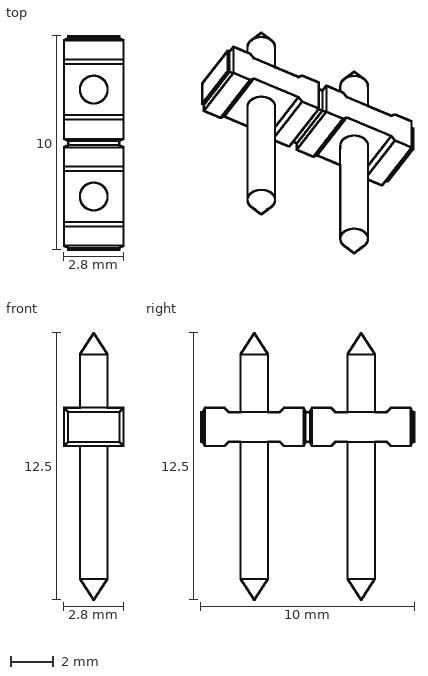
import cadquery as cq

pin_count = 2
pitch = 5.0

body_width = 2.8
body_height = 1.8
end_length = 0.2
taper_length = 0.1
neck_inset = 0.2
land_length = 0.9
recess_depth = neck_inset
recess_slope_run = 0.2

pin_diameter = 1.3
pin_length = 12.5
point_length = 1.0
pin_below_body = 7.2

block_length = pitch - 2 * end_length
half_block = block_length / 2
half_height = body_height / 2


def make_block_core():
    """Block waisted above and below between its end lands, centred on the origin."""
    recess_start = half_block - land_length
    recess_end = recess_start - recess_slope_run
    recess_height = half_height - recess_depth
    top_edge = [
        (-half_block, half_height),
        (-recess_start, half_height),
        (-recess_end, recess_height),
        (recess_end, recess_height),
        (recess_start, half_height),
        (half_block, half_height),
    ]
    bottom_edge = [(y, -z) for y, z in reversed(top_edge)]
    profile = cq.Workplane("YZ").polyline(top_edge + bottom_edge).close()
    return profile.extrude(body_width / 2, both=True)


def make_block_end():
    """Tapered step and neck on the -Y end of a block."""
    neck_width = body_width - 2 * neck_inset
    neck_height = body_height - 2 * neck_inset
    face = cq.Workplane("XZ", origin=(0, -half_block, 0))
    taper = (
        face.rect(body_width, body_height)
        .workplane(offset=taper_length)
        .rect(neck_width, neck_height)
        .loft(ruled=True)
    )
    neck = face.rect(neck_width, neck_height).extrude(end_length)
    return taper.union(neck)


def make_pin():
    """Round pin with a conical point at both ends."""
    radius = pin_diameter / 2
    bottom = -half_height - pin_below_body
    top = bottom + pin_length
    profile = (
        cq.Workplane("XZ")
        .moveTo(0, bottom)
        .lineTo(radius, bottom + point_length)
        .lineTo(radius, top - point_length)
        .lineTo(0, top)
        .close()
    )
    return profile.revolve(360, (0, 0, 0), (0, 1, 0))


block_end = make_block_end()
contact = make_block_core().union(block_end).union(block_end.mirror("XZ")).union(make_pin())

first_y = -pitch * (pin_count - 1) / 2
result = contact.translate((0, first_y, 0))
for index in range(1, pin_count):
    result = result.union(contact.translate((0, first_y + index * pitch, 0)))